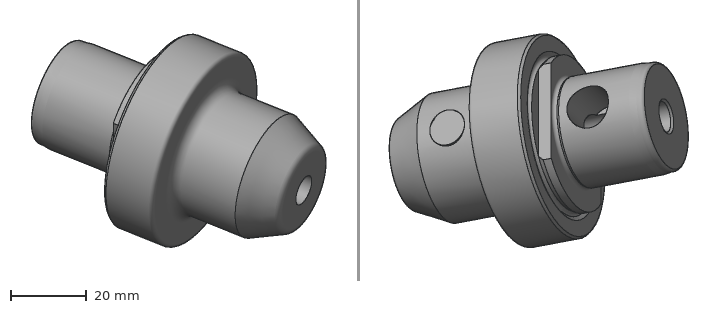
import cadquery as cq

total_length = 75.0
shank_round_end = 1.0
pilot_end = 1.95
lead_cone_end = 4.0
undercut_start = 24.4
undercut_floor_start = 25.0
undercut_floor_end = 25.3
collar_start = 26.1
collar_cone_start = 28.4
collar_seat = 29.8
flange_start = 29.9
flange_end = 45.0
nose_cone_start = 64.3

shank_radius = 15.0
pilot_radius = 14.7
shank_face_radius = 14.1
collar_root_radius = 15.5
collar_radius = 21.1
collar_seat_radius = 20.3
recess_inner_radius = 21.5
recess_mouth_radius = 22.65
flange_diameter = 55.0
flange_radius = flange_diameter / 2
nose_radius = 17.5
nose_tip_radius = 12.3

flange_chamfer_length = 0.75
flange_chamfer_depth = 0.5
flange_round = 1.1
nose_root_fillet = 2.85
nose_tip_fillet = 2.0

recess_depth = 0.7
recess_bottom = flange_start + recess_depth

flat_half_width = 15.9

bore_radius = 4.1
bore_chamfer = 0.6

shank_hole_x = 16.0
shank_hole_radius = 6.0
screw_x = 55.5
screw_radius = 5.0
screw_length = 10.0

shank_round_middle = (0.3, 14.5)
undercut_arc_middle = (25.8, 14.9)
groove_arc_middle = (30.4, 20.6)


def turned_blank():
    """Shank, collar, flange and nose as one revolved outline of (x, radius) points."""
    outline = (
        cq.Workplane("XY")
        .moveTo(0, 0)
        .lineTo(0, shank_face_radius)
        .threePointArc(shank_round_middle, (shank_round_end, pilot_radius))
        .lineTo(pilot_end, pilot_radius)
        .lineTo(lead_cone_end, shank_radius)
        .lineTo(undercut_start, shank_radius)
        .lineTo(undercut_floor_start, pilot_radius)
        .lineTo(undercut_floor_end, pilot_radius)
        .threePointArc(undercut_arc_middle, (collar_start, collar_root_radius))
        .lineTo(collar_start, collar_radius)
        .lineTo(collar_cone_start, collar_radius)
        .lineTo(collar_seat, collar_seat_radius)
        .threePointArc(groove_arc_middle, (recess_bottom, recess_inner_radius))
        .lineTo(flange_start, recess_mouth_radius)
        .lineTo(flange_start, flange_radius - flange_chamfer_depth)
        .lineTo(flange_start + flange_chamfer_length, flange_radius)
        .lineTo(flange_end - flange_round, flange_radius)
        .radiusArc((flange_end, flange_radius - flange_round), flange_round)
        .lineTo(flange_end, nose_radius + nose_root_fillet)
        .radiusArc((flange_end + nose_root_fillet, nose_radius), -nose_root_fillet)
        .lineTo(nose_cone_start, nose_radius)
        .lineTo(total_length, nose_tip_radius)
        .lineTo(total_length, 0)
        .close()
    )
    blank = outline.revolve(360, (0, 0, 0), (1, 0, 0))
    return blank.faces(">X").edges().fillet(nose_tip_fillet)


def flat_cutter(side):
    """Block that removes the collar beyond one flat; side is +1 or -1 along Y."""
    depth = collar_radius
    return cq.Workplane("XY").box(
        collar_seat - collar_start, depth, 2 * collar_radius
    ).translate(
        ((collar_start + collar_seat) / 2, side * (flat_half_width + depth / 2), 0)
    )


def axial_bore():
    """Through bore with a chamfered mouth at the shank end."""
    bore = cq.Workplane("YZ").circle(bore_radius).extrude(total_length)
    mouth = cq.Workplane("XY").add(
        cq.Solid.makeCone(
            bore_radius + bore_chamfer, bore_radius, bore_chamfer,
            pnt=cq.Vector(0, 0, 0), dir=cq.Vector(1, 0, 0),
        )
    )
    return bore.union(mouth)


def radial_cylinder(x, radius, start_y, end_y):
    """Cylinder along +Y at position x, from start_y to end_y."""
    return cq.Workplane("XY").add(
        cq.Solid.makeCylinder(
            radius, end_y - start_y, cq.Vector(x, start_y, 0), cq.Vector(0, 1, 0)
        )
    )


def make_holder():
    holder = turned_blank()
    for side in (1, -1):
        holder = holder.cut(flat_cutter(side))
    holder = holder.cut(axial_bore())
    holder = holder.cut(radial_cylinder(shank_hole_x, shank_hole_radius, 0, shank_radius))
    return holder.cut(radial_cylinder(screw_x, screw_radius, 0, nose_radius))


def make_clamp_screw():
    """Plain screw filling the outer part of the nose hole, its head level with the nose surface."""
    return radial_cylinder(screw_x, screw_radius, nose_radius - screw_length, nose_radius)


holder = make_holder()
clamp_screw = make_clamp_screw()

result = cq.Compound.makeCompound([holder.solids().val(), clamp_screw.solids().val()])